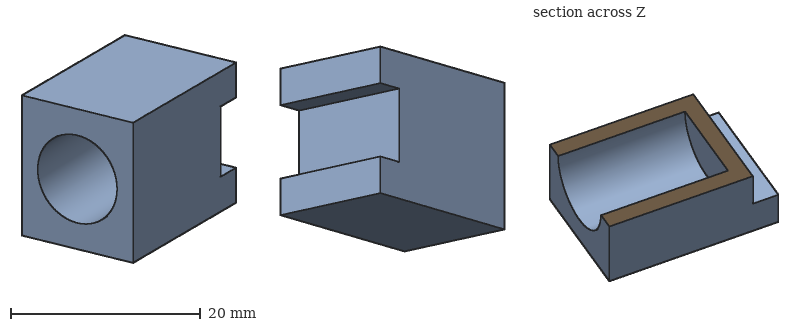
import cadquery as cq

width = 14.0
length = 20.0
height = 16.0

bore_diameter = 10.0
bore_depth = 15.0

slot_height = height / 2
slot_depth = 3.0

block = cq.Workplane("XY").box(width, length, height)

bore = (
    cq.Workplane("XZ", origin=(0, -length / 2, 0))
    .circle(bore_diameter / 2)
    .extrude(-bore_depth)
)

slot = (
    cq.Workplane("XY")
    .box(width, slot_depth, slot_height)
    .translate((0, (length - slot_depth) / 2, 0))
)

result = block.cut(bore).cut(slot)